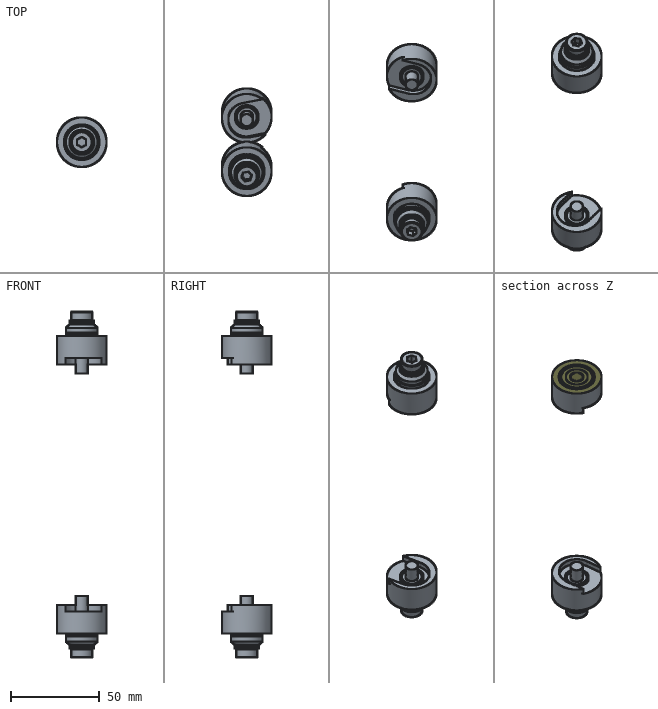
import cadquery as cq
import math

TOP_Z = 97.3

DRUM_DIAMETER = 28.0
DRUM_BOTTOM_Z = 67.5
DRUM_TOP_Z = 83.7
RECESS_DIAMETER = 20.0
RECESS_DEPTH = 2.0
HUB_DIAMETER = 18.0
HUB_TOP_Z = 84.8
SLOT_WIDTH = 20.0
SLOT_DEPTH = 3.7
SLOT_CENTRE_X = 1.0
SLOT_CENTRE_Y = 0.5
COUNTERBORE_DIAMETER = 13.5
COUNTERBORE_DEPTH = 0.5

KNOB_HEIGHT = 5.3
KNOB_TOP_CHAMFER = 2.0
KNOB_BOTTOM_CHAMFER = 0.5
NECK_DIAMETER = 13.6
NECK_HEIGHT = 1.2

RING_THICKNESS = 1.0

SHAFT_DIAMETER = 12.0
SHAFT_CHAMFER = 0.4
GROOVE_DIAMETER = SHAFT_DIAMETER - 2 * SHAFT_CHAMFER
SOCKET_ACROSS_FLATS = 5.0
SOCKET_DEPTH = 4.9
BORE_DIAMETER = 7.2

PIN_DIAMETER = 7.0
PIN_BOTTOM_Z = 62.5

SLOT_FLOOR_Z = DRUM_BOTTOM_Z + SLOT_DEPTH
KNOB_TOP_Z = HUB_TOP_Z + KNOB_HEIGHT
NECK_TOP_Z = KNOB_TOP_Z + NECK_HEIGHT
RING_TOP_Z = NECK_TOP_Z + RING_THICKNESS
BORE_TOP_Z = DRUM_TOP_Z


def cylinder(diameter, bottom_z, top_z):
    """Upright cylinder on the Z axis."""
    return cq.Workplane("XY", origin=(0, 0, bottom_z)).circle(diameter / 2).extrude(top_z - bottom_z)


def slot_cutter():
    """Slot with one round end, open towards -Y."""
    round_end = cylinder(SLOT_WIDTH, DRUM_BOTTOM_Z, SLOT_FLOOR_Z)
    straight_run = cq.Workplane("XY", origin=(0, -DRUM_DIAMETER / 2, DRUM_BOTTOM_Z)).box(
        SLOT_WIDTH, DRUM_DIAMETER, SLOT_DEPTH, centered=(True, True, False)
    )
    return round_end.union(straight_run).translate((SLOT_CENTRE_X, SLOT_CENTRE_Y, 0))


def make_housing():
    recess_floor_z = DRUM_TOP_Z - RECESS_DEPTH
    drum = cylinder(DRUM_DIAMETER, DRUM_BOTTOM_Z, DRUM_TOP_Z)
    drum = drum.cut(cylinder(RECESS_DIAMETER, recess_floor_z, DRUM_TOP_Z))
    hub = cylinder(HUB_DIAMETER, recess_floor_z, HUB_TOP_Z)
    counterbore = cylinder(COUNTERBORE_DIAMETER, SLOT_FLOOR_Z, SLOT_FLOOR_Z + COUNTERBORE_DEPTH)
    shaft_hole = cylinder(SHAFT_DIAMETER, DRUM_BOTTOM_Z, HUB_TOP_Z)
    return drum.union(hub).cut(slot_cutter()).cut(counterbore).cut(shaft_hole)


def make_knob():
    body = cylinder(HUB_DIAMETER, HUB_TOP_Z, KNOB_TOP_Z)
    body = body.faces(">Z").edges().chamfer(KNOB_TOP_CHAMFER)
    body = body.faces("<Z").edges().chamfer(KNOB_BOTTOM_CHAMFER)
    neck = cylinder(NECK_DIAMETER, KNOB_TOP_Z, NECK_TOP_Z)
    return body.union(neck).cut(cylinder(SHAFT_DIAMETER, HUB_TOP_Z, NECK_TOP_Z))


def make_ring():
    outside = cylinder(NECK_DIAMETER, NECK_TOP_Z, RING_TOP_Z)
    return outside.cut(cylinder(GROOVE_DIAMETER, NECK_TOP_Z, RING_TOP_Z))


def make_shaft():
    head = cylinder(SHAFT_DIAMETER, RING_TOP_Z, TOP_Z)
    head = head.faces("<Z or >Z").edges().chamfer(SHAFT_CHAMFER)
    groove_core = cylinder(GROOVE_DIAMETER, NECK_TOP_Z, RING_TOP_Z)
    shank = cylinder(SHAFT_DIAMETER, SLOT_FLOOR_Z, NECK_TOP_Z)
    shank = shank.faces("<Z").edges().chamfer(SHAFT_CHAMFER)
    bore = cylinder(BORE_DIAMETER, SLOT_FLOOR_Z, BORE_TOP_Z)
    across_corners = SOCKET_ACROSS_FLATS / math.cos(math.radians(30))
    socket = (
        cq.Workplane("XY", origin=(0, 0, TOP_Z))
        .transformed(rotate=(0, 0, 90))
        .polygon(6, across_corners)
        .extrude(-SOCKET_DEPTH)
    )
    return head.union(groove_core).union(shank).cut(bore).cut(socket)


def make_pin():
    return cylinder(PIN_DIAMETER, PIN_BOTTOM_Z, BORE_TOP_Z)


upper_unit = [make().val() for make in (make_housing, make_knob, make_ring, make_shaft, make_pin)]
lower_unit = [body.mirror("XY") for body in upper_unit]

result = cq.Compound.makeCompound([*upper_unit, *lower_unit])